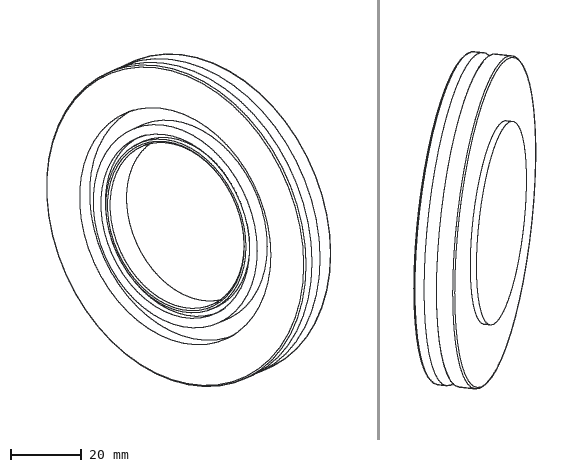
import cadquery as cq

overall_depth = 13.8

flange_diameter = 95.0
flange_thickness = 12.0
rim_chamfer = 0.5
rim_groove_floor_diameter = 92.0
rim_groove_width = 3.6
rim_groove_center = 4.9
face_groove_outer_diameter = 70.0
face_groove_inner_diameter = 60.0
face_groove_depth = 4.5
bore_diameter = 54.4

window_diameter = 58.0
window_front = 8.2

sleeve_outer_diameter = 51.3
sleeve_inner_diameter = 49.0
sleeve_lip_diameter = 50.1
sleeve_front = 0.3
gap_floor = 2.0


def cylinder(diameter, start, end):
    """Solid cylinder along +Y between two depths."""
    return (
        cq.Workplane("XZ", origin=(0, start, 0))
        .circle(diameter / 2)
        .extrude(start - end)
    )


def ring(outer_diameter, inner_diameter, start, end):
    """Straight-walled ring along +Y between two depths."""
    return cylinder(outer_diameter, start, end).cut(cylinder(inner_diameter, start, end))


def rim_groove():
    """Ring with an arc-shaped inner wall, which is the groove around the rim."""
    rim_radius = flange_diameter / 2
    half_width = rim_groove_width / 2
    return (
        cq.Workplane("XY")
        .moveTo(rim_radius, rim_groove_center - half_width)
        .threePointArc(
            (rim_groove_floor_diameter / 2, rim_groove_center),
            (rim_radius, rim_groove_center + half_width),
        )
        .close()
        .revolve(360, (0, 0, 0), (0, 1, 0))
    )


def make_flange():
    """Flange with rim groove, face groove, stepped bore and window seat."""
    blank = cylinder(flange_diameter, 0, flange_thickness).edges().chamfer(rim_chamfer)
    face_groove = ring(face_groove_outer_diameter, face_groove_inner_diameter, 0, face_groove_depth)
    return (
        blank.cut(rim_groove())
        .cut(face_groove)
        .cut(cylinder(bore_diameter, 0, gap_floor))
        .cut(cylinder(sleeve_outer_diameter, gap_floor, window_front))
        .cut(cylinder(window_diameter, window_front, flange_thickness))
    )


def make_sleeve():
    """Thin tube in front of the window, chamfered inside its front lip."""
    lip_chamfer = (sleeve_lip_diameter - sleeve_inner_diameter) / 2
    tube = ring(sleeve_outer_diameter, sleeve_inner_diameter, sleeve_front, window_front)
    return tube.faces("<Y").edges(cq.selectors.RadiusNthSelector(0)).chamfer(lip_chamfer)


def make_window():
    """Plain disc that closes the rear of the bore."""
    return cylinder(window_diameter, window_front, overall_depth)


flange = make_flange()
sleeve = make_sleeve()
window = make_window()

result = cq.Compound.makeCompound([flange.val(), sleeve.val(), window.val()])